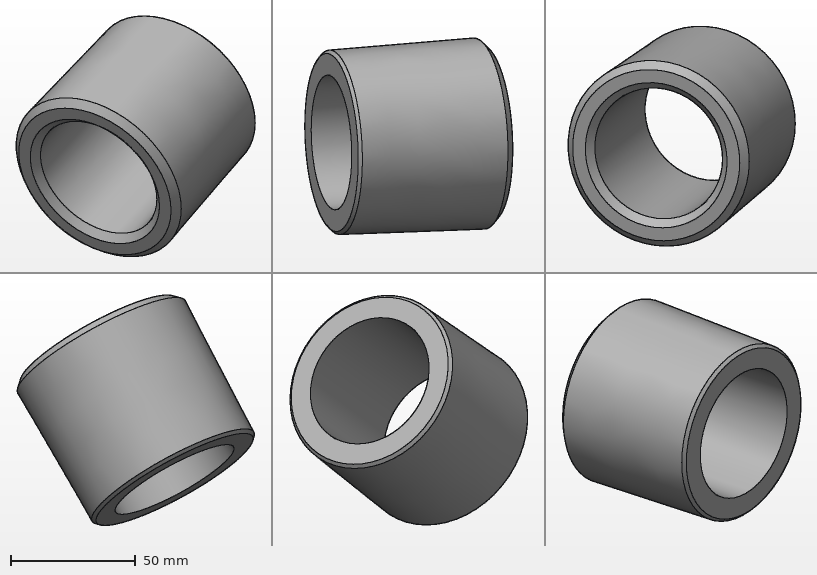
import cadquery as cq

length = 65.0
wide_diameter = 76.7
narrow_diameter = 74.0
bore_diameter = 54.0
wide_end_chamfer = 3.0
narrow_end_chamfer = 1.3
bore_chamfer = 3.0

wide_radius = wide_diameter / 2
narrow_radius = narrow_diameter / 2
bore_radius = bore_diameter / 2
front_y = -length / 2
back_y = length / 2

wall_section = [
    (bore_radius + bore_chamfer, front_y),
    (wide_radius - wide_end_chamfer, front_y),
    (wide_radius, front_y + wide_end_chamfer),
    (narrow_radius, back_y - narrow_end_chamfer),
    (narrow_radius - narrow_end_chamfer, back_y),
    (bore_radius, back_y),
    (bore_radius, front_y + bore_chamfer),
]

result = (
    cq.Workplane("XY")
    .polyline(wall_section)
    .close()
    .revolve(360, (0, 0, 0), (0, 1, 0))
)